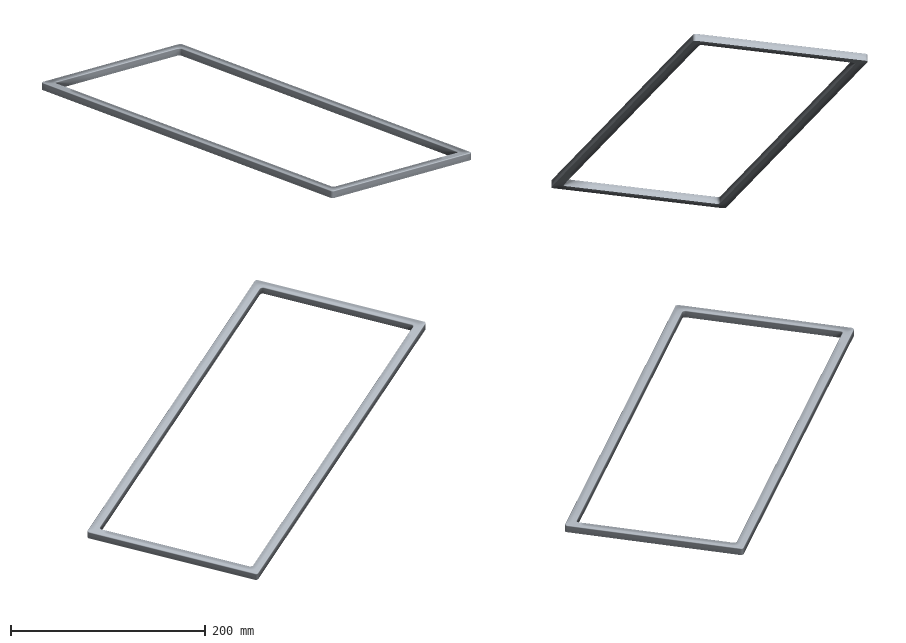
import cadquery as cq

length = 460.0
width = 190.0
thickness = 8.0

bar_width = 10.0
outer_corner_radius = 3.0
inner_corner_radius = 3.0

top_rounding = 1.0


def rounded_plate(plate_length, plate_width, corner_radius):
    """Flat plate centred on all axes, with rounded vertical corners."""
    plate = cq.Workplane("XY").box(plate_length, plate_width, thickness)
    return plate.edges("|Z").fillet(corner_radius)


outer_plate = rounded_plate(length, width, outer_corner_radius)
opening = rounded_plate(length - 2 * bar_width, width - 2 * bar_width, inner_corner_radius)

frame = outer_plate.cut(opening)
result = frame.faces(">Z").edges().fillet(top_rounding)